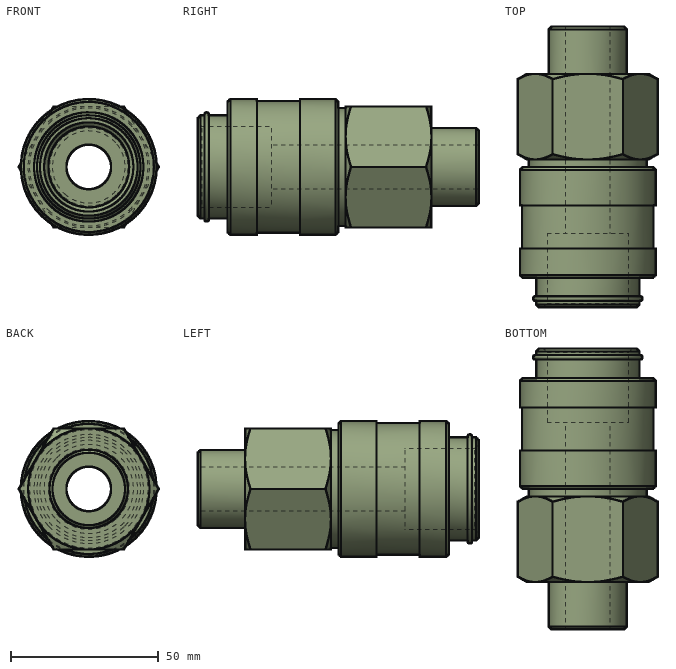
import cadquery as cq
import math

total_length = 95.0
collar_front = 10.0
waist_front = 20.0
waist_back = 34.5
collar_back = 47.5
hex_front = 50.0
hex_back = 79.0

nose_radius = 17.5
collar_radius = 23.0
waist_radius = 22.3
neck_radius = 20.0
spigot_radius = 13.25
edge_chamfer = 1.0

bead_station = 3.0
bead_section_radius = 0.8
bead_outer_radius = 18.5

across_flats = 41.0
across_corners = across_flats / math.cos(math.pi / 6)
hex_cone_angle = 30.0

through_radius = 7.5
socket_radius = 13.7
socket_mouth_radius = 15.1
socket_mouth_depth = 1.4
socket_depth = 25.0

front_y = -total_length / 2


def revolve_profile(points):
    """Turn (radius, station) points around the Y axis."""
    outline = [(radius, front_y + station) for radius, station in points]
    return cq.Workplane("XY").polyline(outline).close().revolve(360, (0, 0), (0, 1))


def turned_section(radius, start, end, start_chamfer=0.0, end_chamfer=0.0):
    """Solid cylinder between two stations, with optional edge chamfers."""
    section = cq.Workplane("XZ", origin=(0, front_y + start, 0)).circle(radius).extrude(start - end)
    if start_chamfer:
        section = section.faces("<Y").chamfer(start_chamfer)
    if end_chamfer:
        section = section.faces(">Y").chamfer(end_chamfer)
    return section


def make_bead():
    """Ring of round section around the nose."""
    ring_radius = bead_outer_radius - bead_section_radius
    section = cq.Workplane("XY", origin=(ring_radius, front_y + bead_station, 0)).circle(bead_section_radius)
    return section.revolve(360, (-ring_radius, 0), (-ring_radius, 1))


def make_hexagon():
    """Hexagon with corners on the X axis and coned ends."""
    prism = (
        cq.Workplane("XZ", origin=(0, front_y + hex_front, 0))
        .polygon(6, across_corners)
        .extrude(hex_front - hex_back)
    )
    face_radius = across_flats / 2
    corner_radius = across_corners / 2
    cone_length = (corner_radius - face_radius) * math.tan(math.radians(hex_cone_angle))
    envelope = revolve_profile([
        (0, hex_front),
        (face_radius, hex_front),
        (corner_radius, hex_front + cone_length),
        (corner_radius, hex_back - cone_length),
        (face_radius, hex_back),
        (0, hex_back),
    ])
    return prism.intersect(envelope)


def make_bore():
    """Wide front socket with a tapered mouth, then a through bore."""
    return revolve_profile([
        (0, 0),
        (socket_mouth_radius, 0),
        (socket_radius, socket_mouth_depth),
        (socket_radius, socket_depth),
        (through_radius, socket_depth),
        (through_radius, total_length),
        (0, total_length),
    ])


body = turned_section(nose_radius, 0, collar_front, start_chamfer=edge_chamfer)
body = body.union(turned_section(collar_radius, collar_front, waist_front, start_chamfer=edge_chamfer))
body = body.union(turned_section(waist_radius, waist_front, waist_back))
body = body.union(turned_section(collar_radius, waist_back, collar_back, end_chamfer=edge_chamfer))
body = body.union(turned_section(neck_radius, collar_back, hex_front))
body = body.union(make_hexagon())
body = body.union(turned_section(spigot_radius, hex_back, total_length, end_chamfer=edge_chamfer))
body = body.union(make_bead())

result = body.cut(make_bore())